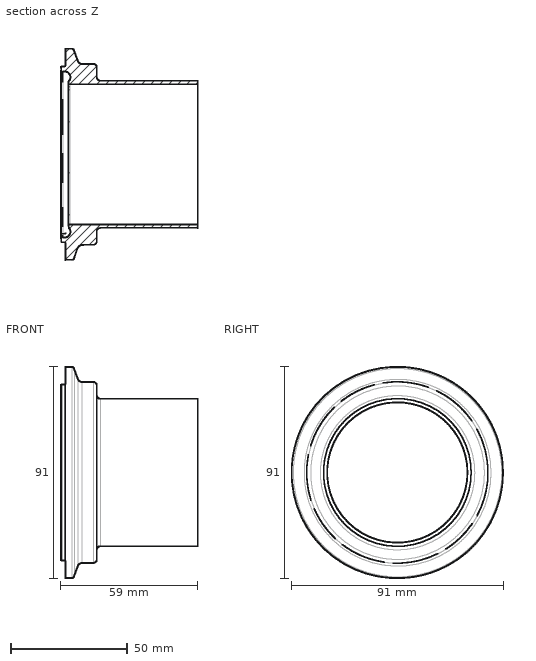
import cadquery as cq
import math


flange_radius = 91 / 2
collar_radius = 78.0 / 2
tube_radius = 63.5 / 2
lip_radius = 75.8 / 2

bore_radius = 60.2 / 2
groove_pitch_radius = 33.2

flange_face_x = 2.0
flange_back_x = 5.5
collar_back_x = 15.6
tube_end_x = 59.0
nose_x = 3.3
groove_center_x = 1.6

back_slope = math.radians(20)
groove_section_radius = 2.5

lip_round = 0.55
flange_round = 1.0
slope_foot_round = 1.8
shoulder_round = 1.6
tube_root_round = 1.5
nose_outer_round = 1.1
nose_bore_round = 0.59

slope_end_x = flange_back_x + (flange_radius - collar_radius) * math.tan(back_slope)


def groove_half_width(x):
    """Half the radial width of the seal groove at station x."""
    return math.sqrt(groove_section_radius**2 - (x - groove_center_x) ** 2)


mouth_radius = groove_pitch_radius + groove_half_width(0)
nose_radius = groove_pitch_radius - groove_half_width(nose_x)


def sharp_body():
    """Revolve the half section (X along the axis, Y as radius) with all corners sharp."""
    section = (
        cq.Workplane("XY")
        .moveTo(0, mouth_radius)
        .lineTo(0, lip_radius)
        .lineTo(flange_face_x, lip_radius)
        .lineTo(flange_face_x, flange_radius)
        .lineTo(flange_back_x, flange_radius)
        .lineTo(slope_end_x, collar_radius)
        .lineTo(collar_back_x, collar_radius)
        .lineTo(collar_back_x, tube_radius)
        .lineTo(tube_end_x, tube_radius)
        .lineTo(tube_end_x, bore_radius)
        .lineTo(nose_x, bore_radius)
        .lineTo(nose_x, nose_radius)
        .threePointArc(
            (groove_center_x + groove_section_radius, groove_pitch_radius),
            (0, mouth_radius),
        )
        .close()
    )
    return section.revolve(360, (0, 0, 0), (1, 0, 0))


def round_edge(body, x, radius, size):
    """Round the circular edge of the given radius at station x."""
    tolerance = 0.01
    rings = [
        edge
        for edge in body.edges("%CIRCLE").vals()
        if abs(edge.Center().x - x) < tolerance and abs(edge.radius() - radius) < tolerance
    ]
    return body.newObject(rings).fillet(size)


edge_rounds = [
    (0, lip_radius, lip_round),
    (0, mouth_radius, lip_round),
    (flange_face_x, lip_radius, lip_round),
    (flange_back_x, flange_radius, flange_round),
    (slope_end_x, collar_radius, slope_foot_round),
    (collar_back_x, collar_radius, shoulder_round),
    (collar_back_x, tube_radius, tube_root_round),
    (nose_x, nose_radius, nose_outer_round),
    (nose_x, bore_radius, nose_bore_round),
]

result = sharp_body()
for station, edge_radius, size in edge_rounds:
    result = round_edge(result, station, edge_radius, size)